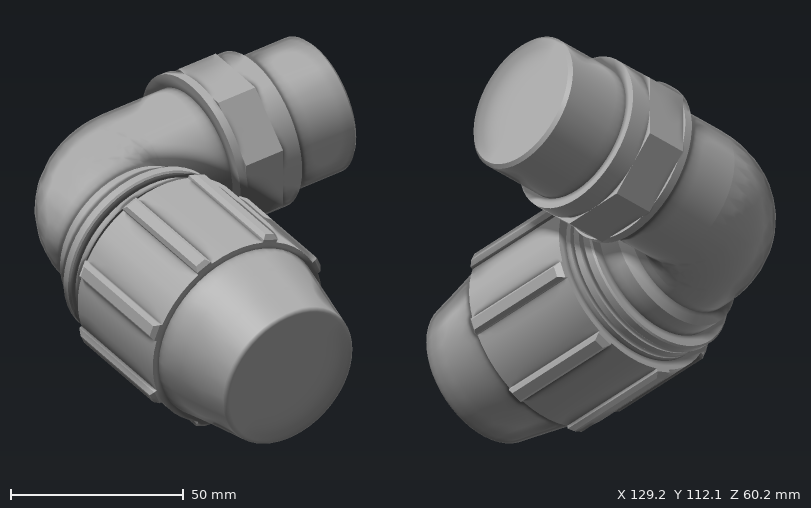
import cadquery as cq
import math


LENGTH_X = 129.2

PIPE_R = 42.0 / 2
BEND_R = 16.9

FLANGE_START = 37.7
FLANGE_END = 40.3
OCTAGON_END = 53.3
COLLAR_END = 60.0
SPIGOT_END = 82.0
FLANGE_R = 50.2 / 2
COLLAR_R = 48.2 / 2
OCTAGON_SIDES = 8
SPIGOT_CHAMFER = 1.0

SHOULDER_START = 19.8
SHOULDER_END = 22.2
SHOULDER_R = 48.0 / 2
STOP_RING_START = 28.9
STOP_RING_WIDTH = 3.4
STOP_RING_R = 55.7 / 2
STOP_RING_CHAMFER = 0.5
RING_STARTS = (34.2, 37.7)
RING_WIDTH = 2.1
RING_R = 54.0 / 2

NUT_START = 39.5
NUT_END = 77.9
NUT_R = 29.8
NUT_END_SLANT = 0.4
CONE_END = LENGTH_X - FLANGE_R
CONE_BASE_R = 28.0
CONE_TIP_R = 22.5
CONE_FILLET = 1.4

RIB_COUNT = 8
RIB_END = NUT_END - NUT_END_SLANT
RIB_TOP_R = 31.9
RIB_BASE_WIDTH = 5.2
RIB_TOP_WIDTH = 3.2
RIB_FRONT_RAMP = 1.8
RIB_BACK_RAMP = 1.2
RIB_SHOULDER_R = 30.6
RIB_INNER_R = 27.1


def x_cylinder(start, end, radius):
    return cq.Workplane("YZ").workplane(offset=start).circle(radius).extrude(end - start)


def y_cylinder(start, end, radius):
    return cq.Workplane("XZ").workplane(offset=-start).circle(radius).extrude(start - end)


def make_bend():
    """Quarter turn of the pipe section, cut off where it would cross the bend axis."""
    half_chord = math.sqrt(PIPE_R**2 - BEND_R**2)
    section = (
        cq.Workplane("XZ", origin=(0, BEND_R, 0))
        .moveTo(BEND_R, half_chord)
        .threePointArc((-PIPE_R, 0), (BEND_R, -half_chord))
        .close()
    )
    return section.revolve(90, (BEND_R, 0), (BEND_R, 1))


def make_threaded_arm():
    spigot = y_cylinder(BEND_R, SPIGOT_END, PIPE_R).faces(">Y").chamfer(SPIGOT_CHAMFER)
    flange = y_cylinder(FLANGE_START, FLANGE_END, FLANGE_R)
    collar = y_cylinder(OCTAGON_END, COLLAR_END, COLLAR_R)
    octagon = (
        cq.Workplane("XZ")
        .workplane(offset=-FLANGE_END)
        .polygon(OCTAGON_SIDES, 2 * COLLAR_R, circumscribed=True)
        .extrude(FLANGE_END - OCTAGON_END)
    )
    return spigot.union(flange).union(octagon).union(collar)


def make_socket_arm():
    arm = (
        cq.Workplane("XY")
        .moveTo(BEND_R, 0)
        .lineTo(BEND_R, PIPE_R)
        .lineTo(SHOULDER_START, PIPE_R)
        .lineTo(SHOULDER_END, SHOULDER_R)
        .lineTo(NUT_START, SHOULDER_R)
        .lineTo(NUT_START, 0)
        .close()
        .revolve(360, (0, 0), (1, 0))
    )
    stop_ring = x_cylinder(STOP_RING_START, STOP_RING_START + STOP_RING_WIDTH, STOP_RING_R)
    arm = arm.union(stop_ring.edges().chamfer(STOP_RING_CHAMFER))
    for start in RING_STARTS:
        arm = arm.union(x_cylinder(start, start + RING_WIDTH, RING_R))
    return arm


def make_nut():
    nut = (
        cq.Workplane("XY")
        .moveTo(NUT_START, 0)
        .lineTo(NUT_START, NUT_R)
        .lineTo(NUT_END - NUT_END_SLANT, NUT_R)
        .lineTo(NUT_END, CONE_BASE_R)
        .lineTo(CONE_END, CONE_TIP_R)
        .lineTo(CONE_END, 0)
        .close()
        .revolve(360, (0, 0), (1, 0))
    )
    return nut.faces(">X").edges().fillet(CONE_FILLET)


def make_rib():
    """Rib on top of the nut: upright flanks with sloped shoulders, and a ramp at each end."""
    cross_section = (
        cq.Workplane("YZ")
        .workplane(offset=NUT_START)
        .moveTo(-RIB_BASE_WIDTH / 2, RIB_INNER_R)
        .lineTo(-RIB_BASE_WIDTH / 2, RIB_SHOULDER_R)
        .lineTo(-RIB_TOP_WIDTH / 2, RIB_TOP_R)
        .lineTo(RIB_TOP_WIDTH / 2, RIB_TOP_R)
        .lineTo(RIB_BASE_WIDTH / 2, RIB_SHOULDER_R)
        .lineTo(RIB_BASE_WIDTH / 2, RIB_INNER_R)
        .close()
        .extrude(RIB_END - NUT_START)
    )
    side_profile = (
        cq.Workplane("XZ")
        .moveTo(NUT_START, RIB_INNER_R)
        .lineTo(NUT_START, RIB_SHOULDER_R)
        .lineTo(NUT_START + RIB_FRONT_RAMP, RIB_TOP_R)
        .lineTo(RIB_END - RIB_BACK_RAMP, RIB_TOP_R)
        .lineTo(RIB_END, RIB_SHOULDER_R)
        .lineTo(RIB_END, RIB_INNER_R)
        .close()
        .extrude(RIB_BASE_WIDTH, both=True)
    )
    return cross_section.intersect(side_profile)


result = make_bend().union(make_threaded_arm()).union(make_socket_arm()).union(make_nut())

rib = make_rib()
rib_pitch = 360 / RIB_COUNT
for index in range(RIB_COUNT):
    angle = (index + 0.5) * rib_pitch
    result = result.union(rib.rotate((0, 0, 0), (1, 0, 0), angle))